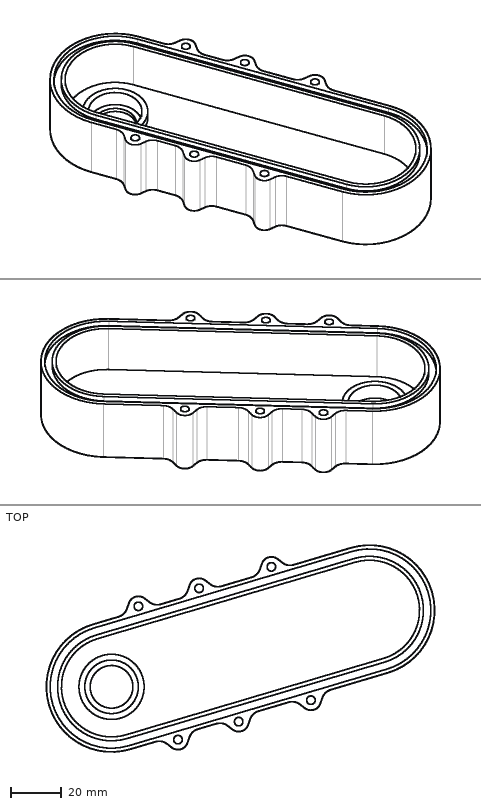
import cadquery as cq
import math

center_dx = 102.6
center_dy = 30.5
end_radius = 26.0
height = 28.0
floor_thickness = 6.5
wall_thickness = 6.0

groove_inset = 1.5
groove_width = 3.0
groove_depth = 2.3

boss_radius = 13.0
boss_height = 3.5
bearing_radius = 10.7
bearing_floor = 3.2
relief_radius = 8.5
relief_floor = 1.5

lug_positions = (-34.2, -9.0, 21.0)
lug_axis_offset = 27.7
lug_radius = 4.0
lug_fillet = 5.0
flank_angle = math.radians(54)
screw_radius = 1.7
screw_depth = 18.5
drill_tip_angle = 118

center_distance = math.hypot(center_dx, center_dy)
tilt = math.degrees(math.atan2(center_dy, center_dx))


def obround(inset, bottom, top):
    """Solid obround set in from the outer wall, between two heights."""
    radius = end_radius - inset
    return (
        cq.Workplane("XY", origin=(0, 0, bottom))
        .slot2D(center_distance + 2 * radius, 2 * radius)
        .extrude(top - bottom)
    )


def cylinder(x, radius, bottom, top):
    return cq.Workplane("XY", origin=(x, 0, bottom)).circle(radius).extrude(top - bottom)


def lug(x):
    """Full-height lug on the +Y side, with straight flanks and concave feet."""
    sine = math.sin(flank_angle)
    cosine = math.cos(flank_angle)
    half_sine = math.sin(flank_angle / 2)
    half_cosine = math.cos(flank_angle / 2)
    fillet_y = end_radius + lug_fillet
    foot = (lug_radius + lug_fillet - cosine * (fillet_y - lug_axis_offset)) / sine
    root_y = end_radius - wall_thickness / 2

    tip_x = lug_radius * sine
    tip_y = lug_axis_offset + lug_radius * cosine
    flank_x = foot - lug_fillet * sine
    flank_y = fillet_y - lug_fillet * cosine
    mid_x = foot - lug_fillet * half_sine
    mid_y = fillet_y - lug_fillet * half_cosine
    return (
        cq.Workplane("XY", origin=(x, 0, 0))
        .moveTo(-foot, root_y)
        .lineTo(-foot, end_radius)
        .threePointArc((-mid_x, mid_y), (-flank_x, flank_y))
        .lineTo(-tip_x, tip_y)
        .threePointArc((0, lug_axis_offset + lug_radius), (tip_x, tip_y))
        .lineTo(flank_x, flank_y)
        .threePointArc((mid_x, mid_y), (foot, end_radius))
        .lineTo(foot, root_y)
        .close()
        .extrude(height)
    )


def screw_hole(x):
    """Blind hole with a conical drill tip, made by revolving its half profile."""
    tip_depth = screw_radius / math.tan(math.radians(drill_tip_angle / 2))
    hole_bottom = height - screw_depth
    return (
        cq.Workplane("XZ", origin=(x, lug_axis_offset, 0))
        .moveTo(0, height)
        .lineTo(screw_radius, height)
        .lineTo(screw_radius, hole_bottom)
        .lineTo(0, hole_bottom - tip_depth)
        .close()
        .revolve(360, (0, 0, 0), (0, 1, 0))
    )


body = obround(0, 0, height)
for position in lug_positions:
    side_lug = lug(position)
    body = body.union(side_lug).union(side_lug.mirror("XZ"))

body = body.cut(obround(wall_thickness, floor_thickness, height))

groove_bottom = height - groove_depth
groove = obround(groove_inset, groove_bottom, height).cut(
    obround(groove_inset + groove_width, groove_bottom, height)
)
body = body.cut(groove)

boss_x = -center_distance / 2
boss_top = floor_thickness + boss_height
body = body.union(cylinder(boss_x, boss_radius, floor_thickness, boss_top))
body = body.cut(cylinder(boss_x, bearing_radius, bearing_floor, boss_top))
body = body.cut(cylinder(boss_x, relief_radius, relief_floor, bearing_floor))

for position in lug_positions:
    hole = screw_hole(position)
    body = body.cut(hole).cut(hole.mirror("XZ"))

result = body.rotate((0, 0, 0), (0, 0, 1), tilt)